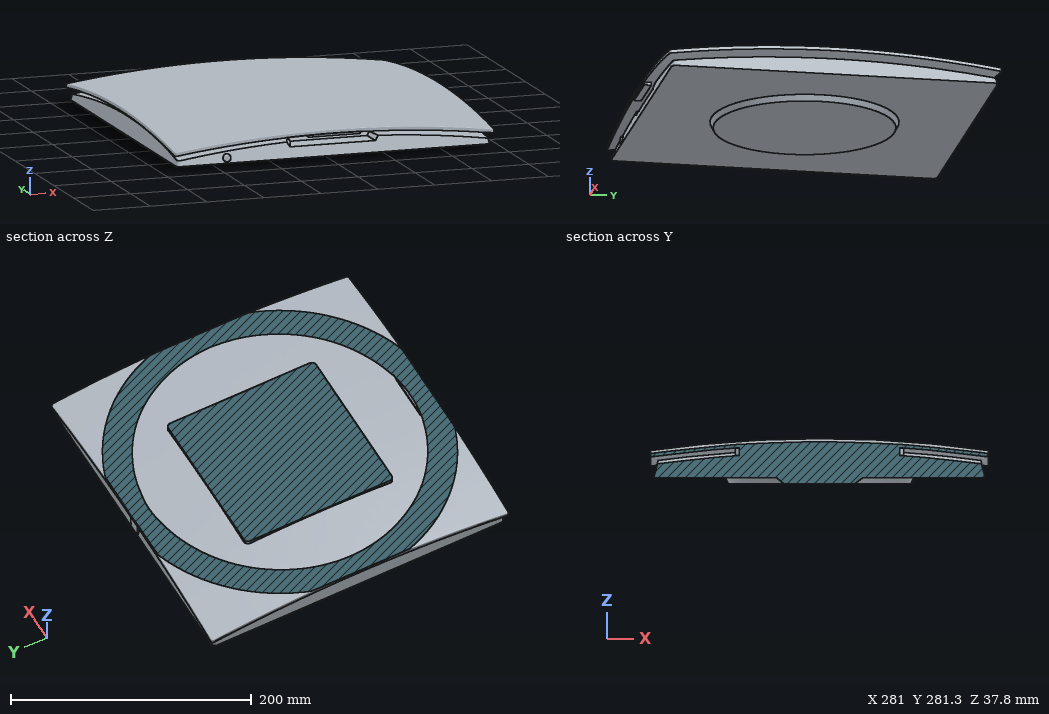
import cadquery as cq
import math

total_height = 37.82
lid_half = 140.5
dome_radius = 1000.0

lid_thickness = 3.3
lid_corner_radius = 2.0
lid_edge_fillet = 0.5

base_half = 138.0
base_bottom = 5.0
base_corner_radius = 4.0
wall_draft = 15.0
base_crown = 28.5

core_half = 70.0

foot_top_radius = 78.6
foot_bottom_radius = 76.0

button_y = -102.5
button_top_radius = 16.0
button_bottom_radius = 18.1
button_rise = 0.6
button_root = 1.0

grip_mouth_bottom_half = 37.4
grip_mouth_top_half = 45.4
grip_mouth_height = 12.0
grip_bottom = 14.6
grip_floor_rise = 2.2
grip_end_inset = 3.7
grip_depth = 10.0

stud_x = -93.6
stud_z = 9.3
stud_radius = 3.5
stud_rounding = 1.5
stud_length = 6.0

tab_half_width = 22.5
tab_drop = 2.0
tab_setback = 0.6
tab_depth = 6.0

catch_width = 12.0
catch_height = 1.2
catch_reach = 0.3
hinge_depth = 10.0

underside_crown = total_height - lid_thickness


def dome_drop(distance):
    """Fall of a dome from its crown at a horizontal distance from its axis."""
    return dome_radius - math.sqrt(dome_radius**2 - distance**2)


def ball(crown):
    """Sphere whose highest point is at the given height."""
    return cq.Workplane("XY").sphere(dome_radius).translate((0, 0, crown - dome_radius))


def square_block(half_side, corner_radius, top, draft=0.0):
    """Square block standing on the base bottom, its walls leaning in by the draft."""
    outline = cq.Sketch().rect(2 * half_side, 2 * half_side).vertices().fillet(corner_radius)
    block = cq.Workplane("XY").workplane(offset=base_bottom).placeSketch(outline)
    return block.extrude(top - base_bottom, taper=draft)


def make_lid():
    blank = square_block(lid_half, lid_corner_radius, total_height + 1)
    lid = blank.intersect(ball(total_height))
    lid = lid.faces(">Z").edges().fillet(lid_edge_fillet)
    return lid.cut(ball(underside_crown))


def make_base():
    blank = square_block(base_half, base_corner_radius, base_crown + 1, wall_draft)
    return blank.intersect(ball(base_crown))


def make_core():
    blank = square_block(core_half, base_corner_radius, total_height)
    return blank.intersect(ball(underside_crown + lid_thickness / 2))


def make_foot():
    return cq.Workplane(obj=cq.Solid.makeCone(foot_bottom_radius, foot_top_radius, base_bottom))


def make_button():
    """Frustum at the crown, swung about the dome centre to its place near the front."""
    slope = (button_bottom_radius - button_top_radius) / button_rise
    cone = cq.Solid.makeCone(
        button_bottom_radius + slope * button_root,
        button_top_radius,
        button_root + button_rise,
        cq.Vector(0, 0, total_height - button_root),
    )
    swing = math.degrees(math.asin(-button_y / dome_radius))
    centre = (0, 0, total_height - dome_radius)
    return cq.Workplane(obj=cone).rotate(centre, (1, 0, centre[2]), swing)


def grip_recess():
    """Flared pocket sunk square into the leaning front wall."""
    draft = math.radians(wall_draft)
    mouth_y = -base_half + (grip_bottom - base_bottom) * math.tan(draft)
    wall = cq.Plane(
        origin=(0, mouth_y, grip_bottom),
        xDir=(1, 0, 0),
        normal=(0, -math.cos(draft), math.sin(draft)),
    )
    mouth = [
        (-grip_mouth_bottom_half, 0),
        (grip_mouth_bottom_half, 0),
        (grip_mouth_top_half, grip_mouth_height),
        (-grip_mouth_top_half, grip_mouth_height),
    ]
    floor_lift = (grip_floor_rise + grip_depth * math.sin(draft)) / math.cos(draft)
    back_bottom_half = grip_mouth_bottom_half - grip_end_inset
    back_top_half = grip_mouth_top_half - grip_end_inset
    back_top = grip_mouth_height + floor_lift
    back = [
        (-back_bottom_half, floor_lift),
        (back_bottom_half, floor_lift),
        (back_top_half, back_top),
        (-back_top_half, back_top),
    ]
    pocket = cq.Workplane(wall).polyline(mouth).close()
    pocket = pocket.workplane(offset=-grip_depth).polyline(back).close()
    return pocket.loft(ruled=True)


def make_stud():
    front = cq.Workplane("XZ", origin=(0, -base_half, 0))
    stud = front.center(stud_x, stud_z).circle(stud_radius).extrude(-stud_length)
    return stud.faces("<Y").edges().fillet(stud_rounding)


def make_tab():
    lid_edge = underside_crown - dome_drop(lid_half)
    height = tab_drop + lid_thickness / 2
    tab = cq.Workplane("XY").box(2 * tab_half_width, tab_depth, height, centered=(True, False, False))
    return tab.translate((0, -lid_half + tab_setback, lid_edge - tab_drop))


def rear_catch():
    middle = total_height - dome_drop(lid_half) - lid_thickness / 2
    return cq.Workplane("XY").box(catch_width, 2 * catch_reach, catch_height).translate((0, lid_half, middle))


def rear_hinge():
    hinge = cq.Workplane("XY").box(catch_width, hinge_depth, total_height, centered=(True, False, False))
    hinge = hinge.translate((0, base_half - hinge_depth, base_bottom))
    return hinge.intersect(ball(underside_crown + lid_thickness / 2))


result = (
    make_base()
    .cut(grip_recess())
    .union(make_core())
    .union(make_lid())
    .union(make_foot())
    .union(make_button())
    .union(make_stud())
    .union(make_tab())
    .union(rear_catch())
    .union(rear_hinge())
)